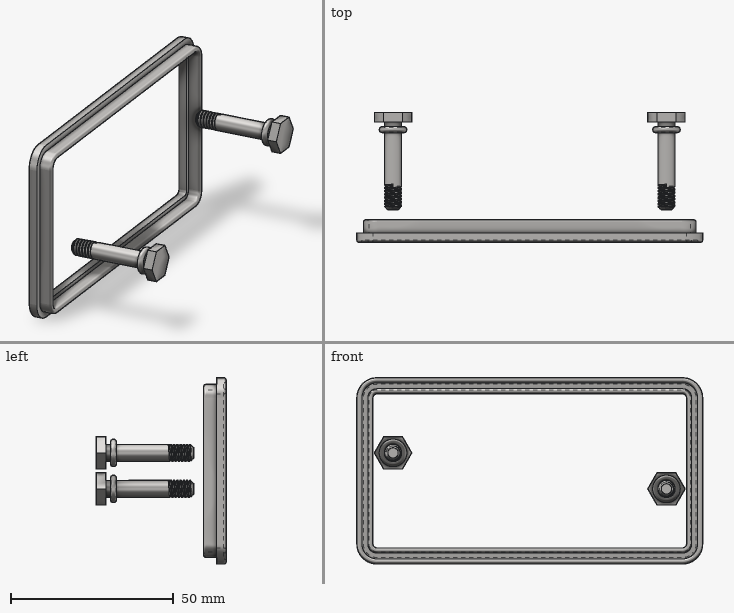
import cadquery as cq
import math

FRAME_LENGTH = 106.2
FRAME_HEIGHT = 57.3
FRAME_DEPTH = 7.0
CORNER_RADIUS = 6.3
RAIL_WIDTH = 5.0
LIP_DEPTH = 3.0
LIP_OVERHANG = 2.0
STEM_WIDTH = 1.7
BEAD_RADIUS = 0.8

OVERALL_DEPTH = 39.9
BOLT_LENGTH = 30.0
HEAD_ACROSS_FLATS = 10.0
HEAD_THICKNESS = 3.0
SHANK_RADIUS = 2.7
COLLAR_POSITION = 5.3
COLLAR_RADIUS = 4.2
COLLAR_TUBE_RADIUS = 1.0
TIP_RADIUS = 1.6
TIP_CHAMFER_LENGTH = 1.1
THREAD_LENGTH = 7.5
THREAD_PITCH = 1.0
THREAD_DEPTH = 0.5
THREAD_GROOVE_WIDTH = 0.7
BOLT_X = 42.0
BOLT_Z = 5.5


def make_frame():
    """Sweep the rail section, a beaded lip with a round-ended stem, around the rounded rectangle."""
    path = (
        cq.Workplane("XZ")
        .rect(FRAME_LENGTH, FRAME_HEIGHT)
        .extrude(-FRAME_DEPTH)
        .edges("|Y")
        .fillet(CORNER_RADIUS)
        .faces("<Y")
        .wires()
    )
    bead_width = 2 * BEAD_RADIUS
    stem_outer = LIP_OVERHANG
    stem_inner = stem_outer + STEM_WIDTH
    rear_radius = STEM_WIDTH / 2
    stem_middle = stem_outer + rear_radius
    rear_mid_offset = rear_radius * math.sqrt(0.5)
    rear_centre = FRAME_DEPTH - rear_radius
    section = (
        cq.Workplane("YZ", origin=(0, 0, -FRAME_HEIGHT / 2))
        .moveTo(BEAD_RADIUS, 0)
        .threePointArc((0, BEAD_RADIUS), (BEAD_RADIUS, bead_width))
        .lineTo(BEAD_RADIUS, RAIL_WIDTH - bead_width)
        .threePointArc((0, RAIL_WIDTH - BEAD_RADIUS), (BEAD_RADIUS, RAIL_WIDTH))
        .lineTo(LIP_DEPTH, RAIL_WIDTH)
        .lineTo(LIP_DEPTH, stem_inner)
        .lineTo(rear_centre, stem_inner)
        .threePointArc(
            (rear_centre + rear_mid_offset, stem_middle + rear_mid_offset), (FRAME_DEPTH, stem_middle)
        )
        .threePointArc(
            (rear_centre + rear_mid_offset, stem_middle - rear_mid_offset), (rear_centre, stem_outer)
        )
        .lineTo(LIP_DEPTH, stem_outer)
        .lineTo(LIP_DEPTH, 0)
        .close()
    )
    return section.sweep(path, transition="right")


def make_thread_groove():
    """Right-handed V groove that starts on the +Y side of the shank and runs out past the tip."""
    start = BOLT_LENGTH - THREAD_LENGTH
    helix_length = THREAD_LENGTH + THREAD_PITCH
    helix = cq.Wire.makeHelix(THREAD_PITCH, helix_length, SHANK_RADIUS, cq.Vector(0, 0, start))
    clearance = 0.1
    root_radius = SHANK_RADIUS - THREAD_DEPTH
    mouth_radius = SHANK_RADIUS + clearance
    mouth_half_width = THREAD_GROOVE_WIDTH / 2 * (THREAD_DEPTH + clearance) / THREAD_DEPTH
    groove = (
        cq.Workplane("XZ")
        .polyline([
            (root_radius, start),
            (mouth_radius, start + mouth_half_width),
            (mouth_radius, start - mouth_half_width),
        ])
        .close()
        .sweep(cq.Workplane(helix), isFrenet=True)
    )
    return groove.rotate((0, 0, 0), (0, 0, 1), 90)


def make_shank():
    """Shank with its chamfered tip up; the thread is cut in a longer rod, which is then trimmed."""
    rod = cq.Workplane("XY").circle(SHANK_RADIUS).extrude(BOLT_LENGTH + 2 * THREAD_PITCH)
    envelope = (
        cq.Workplane("XY")
        .circle(SHANK_RADIUS)
        .extrude(BOLT_LENGTH)
        .faces(">Z")
        .chamfer(TIP_CHAMFER_LENGTH, SHANK_RADIUS - TIP_RADIUS)
    )
    return rod.cut(make_thread_groove()).intersect(envelope)


def make_collar():
    """Collar: the part of a round tube that stands out of the shank."""
    tube_centre_radius = COLLAR_RADIUS - COLLAR_TUBE_RADIUS
    half_width = math.sqrt(COLLAR_TUBE_RADIUS**2 - (tube_centre_radius - SHANK_RADIUS) ** 2)
    bottom = COLLAR_POSITION - half_width
    top = COLLAR_POSITION + half_width
    return (
        cq.Workplane("XZ")
        .moveTo(0, bottom)
        .lineTo(SHANK_RADIUS, bottom)
        .threePointArc((COLLAR_RADIUS, COLLAR_POSITION), (SHANK_RADIUS, top))
        .lineTo(0, top)
        .close()
        .revolve(360, (0, 0), (0, 1))
    )


def make_bolt():
    """Bolt along +Z with the back of its head at Z = 0."""
    head = cq.Workplane("XY").polygon(6, HEAD_ACROSS_FLATS / math.cos(math.pi / 6)).extrude(HEAD_THICKNESS)
    return make_shank().union(make_collar()).union(head)


frame = make_frame()

bolt = make_bolt().rotate((0, 0, 0), (1, 0, 0), 90)
bolts = [
    bolt.translate((side * BOLT_X, OVERALL_DEPTH, -side * BOLT_Z))
    for side in (-1, 1)
]

result = cq.Compound.makeCompound([frame.val(), *[placed.val() for placed in bolts]])